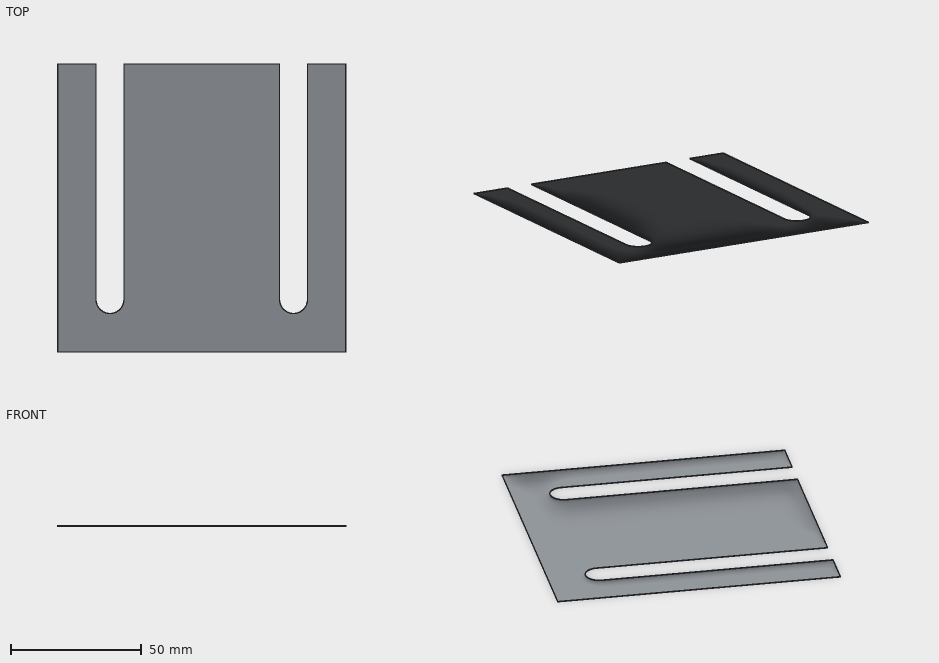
import cadquery as cq

side = 110.0
thickness = 0.25

slot_width = 10.6
slot_spacing = 70.1
slot_end_margin = 14.7

slot_radius = slot_width / 2
slot_tip_y = -side / 2 + slot_end_margin
slot_arc_y = slot_tip_y + slot_radius
open_edge_y = side / 2


def open_slot(center_x):
    """Cutter for one slot: a half-round tip with straight sides up to the open edge."""
    left = center_x - slot_radius
    right = center_x + slot_radius
    return (
        cq.Workplane("XY")
        .moveTo(left, open_edge_y)
        .lineTo(left, slot_arc_y)
        .threePointArc((center_x, slot_tip_y), (right, slot_arc_y))
        .lineTo(right, open_edge_y)
        .close()
        .extrude(thickness)
    )


plate = cq.Workplane("XY").box(side, side, thickness, centered=(True, True, False))
for center_x in (-slot_spacing / 2, slot_spacing / 2):
    plate = plate.cut(open_slot(center_x))

result = plate